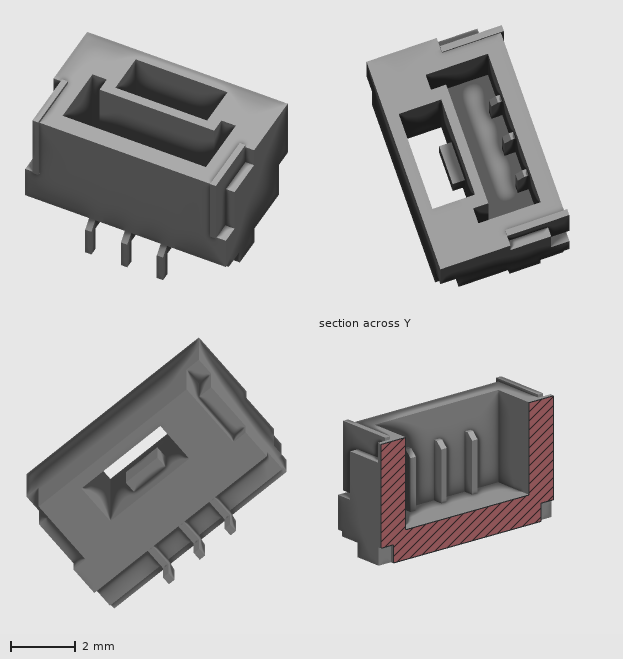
import cadquery as cq


width = 7.0
depth = 4.25
height = 4.05

lip_depth = 0.2
lip_height = 0.65
ledge_depth = 0.96
ledge_height = 0.48

relief_inset = 0.5
relief_leg = 0.6
relief_front = 1.98
relief_top = 1.9

front_wall = 0.6
cavity_width = 5.0
cavity_back = 2.15
key_back = 2.65
key_width = 0.5
cavity_floor = 1.0

window_width = 3.2
window_front = 2.45
window_back = 3.85
latch_width = 1.28
latch_reach = 0.4
latch_bottom = 1.0
latch_top = 2.0

recess_inset = 0.5
clip_thickness = 0.2
clip_overhang = 0.1
clip_back = 1.94
clip_leg = 0.7
clip_arm_bottom = 3.4
clip_bottom = 1.85
recess_bottom = 1.8

pin_count = 3
pin_pitch = 1.25
pin_width = 0.22
pin_overhang = 0.1
pin_drop = 0.8
pin_arm_bottom = 0.1
tail_thickness = 0.29
post_tip = 3.0
tip_chamfer = 0.22


def extrude_profile(points, x_start, length):
    """Extrude an outline of (Y, Z) points along +X from x_start."""
    return cq.Workplane("YZ", origin=(x_start, 0, 0)).polyline(points).close().extrude(length)


def box_between(x_range, y_range, z_range):
    """Make a box from its lower and upper limit along each axis."""
    sizes = [upper - lower for lower, upper in (x_range, y_range, z_range)]
    corner = (x_range[0], y_range[0], z_range[0])
    return cq.Workplane("XY", origin=corner).box(*sizes, centered=False)


def on_both_sides(shape):
    """Add the mirror image across the X = 0 plane."""
    return shape.union(shape.mirror("YZ"))


def make_block():
    outline = [
        (0, lip_height),
        (lip_depth, lip_height),
        (lip_depth, ledge_height),
        (ledge_depth, ledge_height),
        (ledge_depth, 0),
        (depth, 0),
        (depth, height),
        (0, height),
    ]
    return extrude_profile(outline, -width / 2, width)


def make_reliefs():
    relief_back = depth - relief_leg
    outline = [
        (relief_front, 0),
        (depth, 0),
        (depth, relief_top),
        (relief_back, relief_top),
        (relief_back, relief_leg),
        (relief_front, relief_leg),
    ]
    return on_both_sides(extrude_profile(outline, width / 2 - relief_inset, relief_inset))


def make_cavity():
    half_width = cavity_width / 2
    levels = (cavity_floor, height)
    main = box_between((-half_width, half_width), (front_wall, cavity_back), levels)
    key_slot = box_between((half_width - key_width, half_width), (front_wall, key_back), levels)
    return main.union(on_both_sides(key_slot))


def make_window():
    half_width = window_width / 2
    return box_between((-half_width, half_width), (window_front, window_back), (0, height))


def make_latch():
    half_width = latch_width / 2
    latch_back = window_front + latch_reach
    return box_between((-half_width, half_width), (window_front, latch_back), (latch_bottom, latch_top))


def angle_outline(front, top, bottom):
    """Outline of the clip angle: an arm running back and a leg running down."""
    leg_back = clip_leg - clip_overhang
    return [
        (front, bottom),
        (leg_back, bottom),
        (leg_back, clip_arm_bottom),
        (clip_back, clip_arm_bottom),
        (clip_back, top),
        (front, top),
    ]


def make_clip_recesses():
    outline = angle_outline(0, height, recess_bottom)
    return on_both_sides(extrude_profile(outline, width / 2 - recess_inset, recess_inset))


def make_clips():
    outline = angle_outline(-clip_overhang, height + clip_overhang, clip_bottom)
    return on_both_sides(extrude_profile(outline, width / 2 - recess_inset, clip_thickness))


def make_pin(x_center):
    """Pin with a downward tail in front, an arm under the ledge and a post in the cavity."""
    tail_front = -pin_overhang
    tail_back = tail_front + tail_thickness
    outline = [
        (tail_front, -pin_drop),
        (tail_back, -pin_drop),
        (tail_back, pin_arm_bottom),
        (ledge_depth, pin_arm_bottom),
        (ledge_depth, post_tip - tip_chamfer),
        (ledge_depth - tip_chamfer, post_tip),
        (front_wall, post_tip),
        (front_wall, ledge_height),
        (tail_back, ledge_height),
        (tail_front, ledge_height - tail_thickness),
    ]
    return extrude_profile(outline, x_center - pin_width / 2, pin_width)


result = make_block()
for pocket in (make_reliefs(), make_cavity(), make_window(), make_clip_recesses()):
    result = result.cut(pocket)

result = result.union(make_latch()).union(make_clips())
for index in range(pin_count):
    result = result.union(make_pin((index - (pin_count - 1) / 2) * pin_pitch))